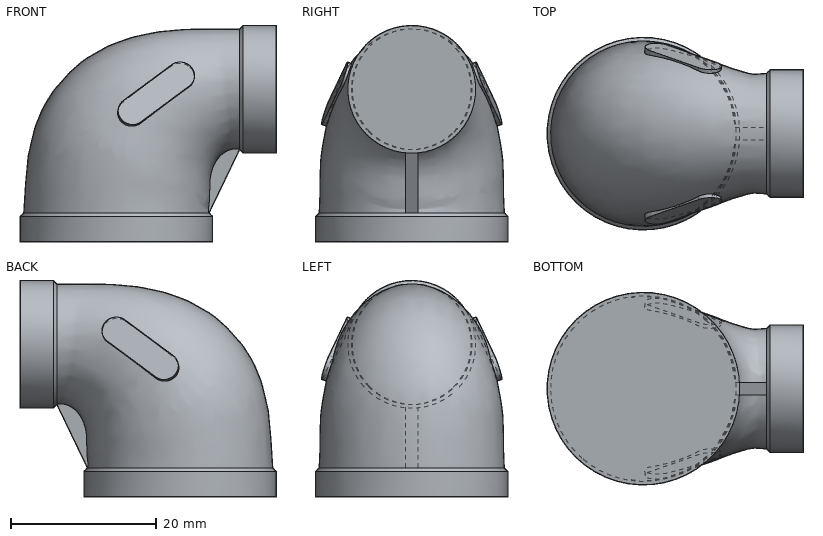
import cadquery as cq
import math


LENGTH_X = 35.25
HEIGHT_Z = 29.8

LARGE_DIAMETER = 26.5
SMALL_DIAMETER = 17.6
LARGE_COLLAR_LENGTH = 4.0
SMALL_COLLAR_LENGTH = 5.05
COLLAR_BEVEL = 0.5

LARGE_RADIUS = LARGE_DIAMETER / 2
SMALL_RADIUS = SMALL_DIAMETER / 2
LARGE_NECK_RADIUS = LARGE_RADIUS - COLLAR_BEVEL
SMALL_NECK_RADIUS = SMALL_RADIUS - COLLAR_BEVEL
SMALL_FACE_X = LENGTH_X - LARGE_RADIUS
SMALL_AXIS_Z = HEIGHT_Z - SMALL_RADIUS

PIVOT_X = SMALL_FACE_X - SMALL_COLLAR_LENGTH
PIVOT_Z = LARGE_COLLAR_LENGTH

BEND_SECTIONS = [
    (17.25, 12.9, 12.7),
    (17.7, 12.97, 12.3),
    (17.87, 12.1, 11.42),
    (17.7, 10.45, 10.33),
    (17.35, 8.85, 8.85),
]

WEB_THICKNESS = 1.75

PAD_CENTER = (5.5, 10.6, 20.45)
PAD_END_RADIUS = 1.95
PAD_END_SPACING = 8.6
PAD_DEPTH = 2.1
PAD_LEAN_X = 0.1
PAD_LEAN_Z = 0.34
PAD_RISE = 0.74


def make_collar(end_plane, radius, length, neck_face):
    """Round collar grown from its end face, with the rim of its neck face bevelled."""
    collar = cq.Workplane(end_plane).circle(radius).extrude(length)
    return collar.faces(neck_face).chamfer(COLLAR_BEVEL)


def make_section(angle, center_distance, half_depth, half_width):
    """Oval wire, starting at the throat, in the pivot plane turned by angle from horizontal."""
    radial = cq.Vector(-math.cos(angle), 0, math.sin(angle))
    normal = cq.Vector(math.sin(angle), 0, math.cos(angle))
    center = cq.Vector(PIVOT_X, 0, PIVOT_Z) + radial * center_distance
    section = cq.Workplane(cq.Plane(center, -radial, normal))
    return section.ellipse(half_depth, half_width).wire().val()


def make_bend():
    """Smooth loft from the large neck round to the small neck."""
    large_neck = (PIVOT_X, LARGE_NECK_RADIUS, LARGE_NECK_RADIUS)
    small_neck = (SMALL_AXIS_Z - PIVOT_Z, SMALL_NECK_RADIUS, SMALL_NECK_RADIUS)
    sections = [large_neck] + BEND_SECTIONS + [small_neck]
    step = math.pi / 2 / (len(sections) - 1)
    wires = [make_section(i * step, *section) for i, section in enumerate(sections)]
    return cq.Workplane(cq.Solid.makeLoft(wires))


def make_web():
    """Triangular web whose free edge joins the throat sides of the two necks."""
    outline = [
        (LARGE_NECK_RADIUS, PIVOT_Z),
        (PIVOT_X, SMALL_AXIS_Z - SMALL_NECK_RADIUS),
        (PIVOT_X, SMALL_AXIS_Z),
        (0, SMALL_AXIS_Z),
        (0, PIVOT_Z),
    ]
    return cq.Workplane("XZ").polyline(outline).close().extrude(WEB_THICKNESS / 2, both=True)


def make_pad():
    """Pad on the +Y side, sunk into the body from its sloping flat face."""
    normal = cq.Vector(PAD_LEAN_X, 1, PAD_LEAN_Z)
    long_axis = cq.Vector(1, -PAD_LEAN_X - PAD_LEAN_Z * PAD_RISE, PAD_RISE)
    face = cq.Workplane(cq.Plane(PAD_CENTER, long_axis, normal))
    width = 2 * PAD_END_RADIUS
    return face.slot2D(PAD_END_SPACING + width, width).extrude(-PAD_DEPTH)


large_end = cq.Plane((0, 0, 0), (1, 0, 0), (0, 0, 1))
small_end = cq.Plane((SMALL_FACE_X, 0, SMALL_AXIS_Z), (0, 1, 0), (-1, 0, 0))
pad = make_pad()

result = (
    make_bend()
    .union(make_collar(large_end, LARGE_RADIUS, LARGE_COLLAR_LENGTH, ">Z"))
    .union(make_collar(small_end, SMALL_RADIUS, SMALL_COLLAR_LENGTH, "<X"))
    .union(make_web())
    .union(pad)
    .union(pad.mirror("XZ"))
)